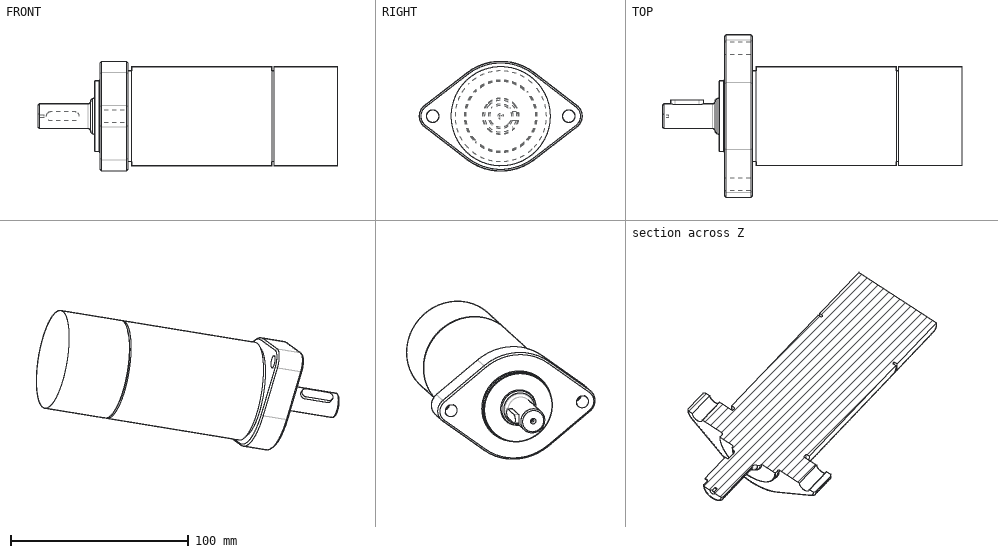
import cadquery as cq
import math

TOTAL_LENGTH = 169.1
INNER_COLLAR_FRONT = 29.8
OUTER_COLLAR_FRONT = 30.8
PILOT_FRONT = 32.0
FLANGE_FRONT = 35.0
FLANGE_BACK = 50.9
BODY_FRONT = 53.0
GROOVE_FRONT = 132.0

SHAFT_DIAMETER = 14.0
INNER_COLLAR_DIAMETER = 18.1
OUTER_COLLAR_DIAMETER = 20.0
COLLAR_BASE_DIAMETER = 20.6
PILOT_DIAMETER = 40.0
NECK_DIAMETER = 51.4
BODY_DIAMETER = 56.0

SHAFT_CHAMFER = 0.8
FLARE_RADIUS = 1.5
PILOT_CHAMFER = 0.3
PILOT_BASE_FLARE = 0.5
GROOVE_WIDTH = 1.0

FLANGE_LENGTH = 92.0
FLANGE_HEIGHT = 62.0
EAR_RADIUS = 7.6
MOUNT_HOLE_DIAMETER = 7.0
FLANGE_CHAMFER = 1.0

KEY_START = 4.7
KEY_LENGTH = 18.6
KEY_WIDTH = 5.0
KEY_TOP = 9.1

CENTRE_MOUTH_DIAMETER = 3.2
CENTRE_HOLE_DIAMETER = 1.4
CENTRE_HOLE_DEPTH = 3.4


def turned_profile():
    """Shaft, collars, pilot, neck and body revolved about the X axis."""
    shaft_r = SHAFT_DIAMETER / 2
    inner_r = INNER_COLLAR_DIAMETER / 2
    outer_r = OUTER_COLLAR_DIAMETER / 2
    pilot_r = PILOT_DIAMETER / 2
    neck_r = NECK_DIAMETER / 2
    body_r = BODY_DIAMETER / 2
    groove_back = GROOVE_FRONT + GROOVE_WIDTH
    return (
        cq.Workplane("XY")
        .moveTo(0, 0)
        .lineTo(0, shaft_r - SHAFT_CHAMFER)
        .lineTo(SHAFT_CHAMFER, shaft_r)
        .lineTo(INNER_COLLAR_FRONT - FLARE_RADIUS, shaft_r)
        .tangentArcPoint((INNER_COLLAR_FRONT, shaft_r + FLARE_RADIUS), relative=False)
        .lineTo(INNER_COLLAR_FRONT, inner_r)
        .lineTo(OUTER_COLLAR_FRONT, outer_r)
        .lineTo(PILOT_FRONT, COLLAR_BASE_DIAMETER / 2)
        .lineTo(PILOT_FRONT, pilot_r - PILOT_CHAMFER)
        .lineTo(PILOT_FRONT + PILOT_CHAMFER, pilot_r)
        .lineTo(FLANGE_FRONT - PILOT_BASE_FLARE, pilot_r)
        .lineTo(FLANGE_FRONT, pilot_r + PILOT_BASE_FLARE)
        .lineTo(FLANGE_FRONT, neck_r)
        .lineTo(BODY_FRONT, neck_r)
        .lineTo(BODY_FRONT, body_r)
        .lineTo(GROOVE_FRONT, body_r)
        .lineTo(GROOVE_FRONT, neck_r)
        .lineTo(groove_back, neck_r)
        .lineTo(groove_back, body_r)
        .lineTo(TOTAL_LENGTH, body_r)
        .lineTo(TOTAL_LENGTH, 0)
        .close()
        .revolve(360, (0, 0, 0), (1, 0, 0))
    )


def mounting_flange():
    """Rhombic flange: a central arc joined to two ears by tangent lines."""
    hub_r = FLANGE_HEIGHT / 2
    ear_y = FLANGE_LENGTH / 2 - EAR_RADIUS
    normal_angle = math.acos((hub_r - EAR_RADIUS) / ear_y)
    normal_y = math.cos(normal_angle)
    normal_z = math.sin(normal_angle)
    hub_y = hub_r * normal_y
    hub_z = hub_r * normal_z
    tangent_y = ear_y + EAR_RADIUS * normal_y
    tangent_z = EAR_RADIUS * normal_z
    tip_y = FLANGE_LENGTH / 2
    return (
        cq.Workplane("YZ", origin=(FLANGE_FRONT, 0, 0))
        .moveTo(-hub_y, hub_z)
        .threePointArc((0, hub_r), (hub_y, hub_z))
        .lineTo(tangent_y, tangent_z)
        .threePointArc((tip_y, 0), (tangent_y, -tangent_z))
        .lineTo(hub_y, -hub_z)
        .threePointArc((0, -hub_r), (-hub_y, -hub_z))
        .lineTo(-tangent_y, -tangent_z)
        .threePointArc((-tip_y, 0), (-tangent_y, tangent_z))
        .close()
        .extrude(FLANGE_BACK - FLANGE_FRONT)
        .faces("<X or >X")
        .chamfer(FLANGE_CHAMFER)
        .faces("<X")
        .workplane(origin=(FLANGE_FRONT, 0, 0))
        .pushPoints([(-ear_y, 0), (ear_y, 0)])
        .hole(MOUNT_HOLE_DIAMETER)
    )


def shaft_key():
    """Round-ended key rising from the shaft axis to its top face on +Y."""
    return (
        cq.Workplane("XZ")
        .center(KEY_START + KEY_LENGTH / 2, 0)
        .slot2D(KEY_LENGTH, KEY_WIDTH)
        .extrude(-KEY_TOP)
    )


def centre_drilling():
    """Small hole on the shaft axis with a 90 degree countersink."""
    mouth_r = CENTRE_MOUTH_DIAMETER / 2
    hole_r = CENTRE_HOLE_DIAMETER / 2
    return (
        cq.Workplane("XY")
        .moveTo(0, 0)
        .lineTo(0, mouth_r)
        .lineTo(mouth_r - hole_r, hole_r)
        .lineTo(CENTRE_HOLE_DEPTH, hole_r)
        .lineTo(CENTRE_HOLE_DEPTH, 0)
        .close()
        .revolve(360, (0, 0, 0), (1, 0, 0))
    )


result = (
    turned_profile()
    .union(mounting_flange())
    .union(shaft_key())
    .cut(centre_drilling())
)